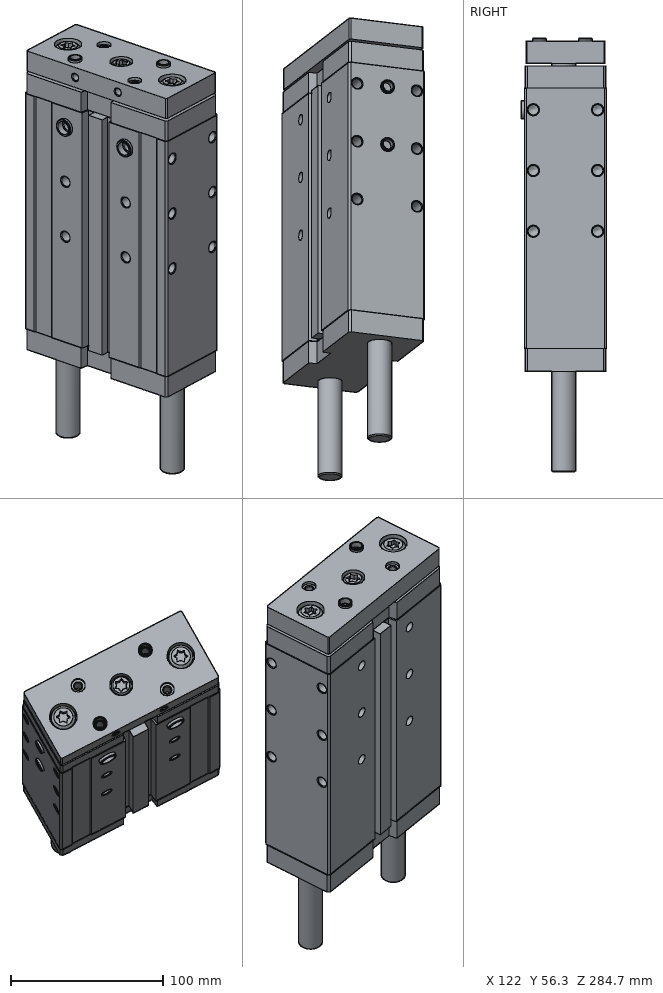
import cadquery as cq
import math

rod_overhang = 66.0
lower_cap_height = 15.0
barrel_height = 171.0
upper_cap_height = 14.5
yoke_gap = 1.7
yoke_height = 14.5

lower_cap_z = rod_overhang
barrel_z = lower_cap_z + lower_cap_height
upper_cap_z = barrel_z + barrel_height
housing_top = upper_cap_z + upper_cap_height
yoke_z = housing_top + yoke_gap
yoke_top = yoke_z + yoke_height

barrel_width, barrel_depth = 120.0, 54.0
cap_width, cap_depth = 118.8, 53.0
yoke_width, yoke_depth = 118.0, 52.0
housing_corner_chamfer = 1.5
yoke_corner_chamfer = 0.9

guide_x = 44.0
guide_y = -1.0
guide_diameter = 16.0
piston_rod_diameter = 12.0
rod_tip_chamfer = 0.9

guide_screw = {"recess": 18.0, "head": 16.0, "crown": 12.5, "star_angle": 30}
piston_screw = {"recess": 15.0, "head": 13.0, "crown": 11.0, "star_angle": 0}
recess_depth = 7.0
head_drop = 0.9
star_tip_diameter = 9.0
star_root_diameter = 6.0
star_points = 6
star_depth = 3.5

rib_edge = 5.7
center_groove_floor_edge = 10.5
center_groove_mouth_edge = 11.5
cap_recess_floor_edge = 11.7
cap_recess_mouth_edge = 12.5
center_groove_depth = 5.7
side_groove_x = 44.1
side_groove_mouth = 14.8
side_groove_floor = 13.0
side_groove_depth = 0.9

hole_pitch = 40.0
top_row_z = upper_cap_z - 14.2
row_heights = [top_row_z - hole_pitch * row for row in range(3)]
cross_hole_x = 25.3
cross_hole_diameter = 6.8
side_hole_y = 21.0
side_hole_diameter = 6.8
side_hole_depth = 14.2
mouth_chamfer = 0.5

large_sleeve = {"outer": 12.0, "inner": 9.0, "rise": 2.3, "seat": 2.5}
small_sleeve = {"outer": 9.0, "inner": 6.8, "rise": 2.0, "seat": 2.0}
sleeve_rim_chamfer = 0.43

yoke_hole_diameter = 4.8
yoke_hole_x = 25.0
yoke_hole_pitch_y = 30.2
yoke_hole_center_y = -2.0
yoke_front_hole_x = 18.0
yoke_front_hole_depth = 8.5
drill_point_angle = 118.0

FROM_FRONT = cq.Vector(0, 1, 0)
FROM_LEFT = cq.Vector(1, 0, 0)
FROM_RIGHT = cq.Vector(-1, 0, 0)
FROM_TOP = cq.Vector(0, 0, -1)
UPWARD = cq.Vector(0, 0, 1)


def cylinder(diameter, length, start, direction):
    solid = cq.Solid.makeCylinder(diameter / 2, length, cq.Vector(*start), direction)
    return cq.Workplane(obj=solid)


def hole_mouth(diameter, start, direction):
    solid = cq.Solid.makeCone(
        diameter / 2 + mouth_chamfer, diameter / 2, mouth_chamfer, cq.Vector(*start), direction
    )
    return cq.Workplane(obj=solid)


def drilled_hole(diameter, depth, start, direction):
    """Blind hole with a chamfered mouth and a conical drill point."""
    point_height = diameter / 2 / math.tan(math.radians(drill_point_angle / 2))
    point_start = cq.Vector(*start) + direction * depth
    point = cq.Workplane(obj=cq.Solid.makeCone(diameter / 2, 0, point_height, point_start, direction))
    hole = cylinder(diameter, depth, start, direction)
    return hole.union(hole_mouth(diameter, start, direction)).union(point)


def sleeve_seat(sleeve, start, direction):
    return cylinder(sleeve["outer"], sleeve["seat"], start, direction)


def chamfered_block(width, depth, height, bottom, chamfer):
    block = cq.Workplane("XY").workplane(offset=bottom).rect(width, depth).extrude(height)
    return block.edges("|Z").chamfer(chamfer)


def cut_guide_bores(body):
    for side in (-1, 1):
        bore = cylinder(guide_diameter, housing_top, (side * guide_x, guide_y, 0), UPWARD)
        body = body.cut(bore)
    return body


def cut_piston_bore(body):
    bore = cylinder(piston_rod_diameter, yoke_z - barrel_z, (0, 0, barrel_z), UPWARD)
    return body.cut(bore)


def cut_groove(body, mouth, floor, depth, face_y, bottom, height):
    """Groove along Z; mouth and floor are (left, right) X pairs, face_y is the face it enters."""
    floor_y = face_y - math.copysign(depth, face_y)
    groove = (
        cq.Workplane("XY")
        .workplane(offset=bottom)
        .moveTo(mouth[0], face_y)
        .lineTo(floor[0], floor_y)
        .lineTo(floor[1], floor_y)
        .lineTo(mouth[1], face_y)
        .close()
        .extrude(height)
    )
    return body.cut(groove)


def make_barrel():
    body = chamfered_block(barrel_width, barrel_depth, barrel_height, barrel_z, housing_corner_chamfer)
    body = cut_piston_bore(cut_guide_bores(body))
    front = -barrel_depth / 2
    for side in (-1, 1):
        mouth = (side * rib_edge, side * center_groove_mouth_edge)
        floor = (side * rib_edge, side * center_groove_floor_edge)
        for face_y in (front, -front):
            body = cut_groove(body, mouth, floor, center_groove_depth, face_y, barrel_z, barrel_height)
        x = side * side_groove_x
        mouth = (x - side_groove_mouth / 2, x + side_groove_mouth / 2)
        floor = (x - side_groove_floor / 2, x + side_groove_floor / 2)
        body = cut_groove(body, mouth, floor, side_groove_depth, front, barrel_z, barrel_height)
    return cut_side_holes(cut_cross_holes(body))


def cut_cross_holes(body):
    front = -barrel_depth / 2
    for side in (-1, 1):
        for z in row_heights:
            start = (side * cross_hole_x, front, z)
            body = body.cut(cylinder(cross_hole_diameter, barrel_depth, start, FROM_FRONT))
            body = body.cut(hole_mouth(cross_hole_diameter, start, FROM_FRONT))
        body = body.cut(sleeve_seat(large_sleeve, (side * cross_hole_x, front, top_row_z), FROM_FRONT))
    return body


def cut_side_holes(body):
    for x, inward in ((-barrel_width / 2, FROM_LEFT), (barrel_width / 2, FROM_RIGHT)):
        for y in (-side_hole_y, side_hole_y):
            for z in row_heights:
                body = body.cut(drilled_hole(side_hole_diameter, side_hole_depth, (x, y, z), inward))
    for z in row_heights[:2]:
        start = (-barrel_width / 2, 0, z)
        body = body.cut(sleeve_seat(small_sleeve, start, FROM_LEFT))
    return body


def make_cap(bottom, height):
    body = chamfered_block(cap_width, cap_depth, height, bottom, housing_corner_chamfer)
    mouth = (-cap_recess_mouth_edge, cap_recess_mouth_edge)
    floor = (-cap_recess_floor_edge, cap_recess_floor_edge)
    for face_y in (-cap_depth / 2, cap_depth / 2):
        body = cut_groove(body, mouth, floor, center_groove_depth, face_y, bottom, height)
    return cut_piston_bore(cut_guide_bores(body))


def star_outline(first_angle):
    points = []
    for index in range(2 * star_points):
        radius = (star_tip_diameter if index % 2 == 0 else star_root_diameter) / 2
        angle = math.radians(first_angle) + math.pi * index / star_points
        points.append((radius * math.cos(angle), radius * math.sin(angle)))
    return points


def add_screw(body, screw, x, y):
    body = body.cut(cylinder(screw["recess"], recess_depth, (x, y, yoke_top), FROM_TOP))
    head_top = yoke_top - head_drop
    head = (
        cq.Workplane("XY", origin=(x, y, head_top))
        .circle(screw["head"] / 2)
        .extrude(head_drop - recess_depth)
        .faces(">Z")
        .chamfer((screw["head"] - screw["crown"]) / 2)
    )
    outline = star_outline(screw["star_angle"])
    socket = cq.Workplane("XY", origin=(x, y, head_top)).polyline(outline).close().extrude(-star_depth)
    return body.union(head.cut(socket))


def yoke_hole_mouth(side, row):
    return (side * yoke_hole_x, yoke_hole_center_y + row * yoke_hole_pitch_y / 2, yoke_top)


def make_yoke():
    body = chamfered_block(yoke_width, yoke_depth, yoke_height, yoke_z, yoke_corner_chamfer)
    for side in (-1, 1):
        guide = cylinder(guide_diameter, yoke_z, (side * guide_x, guide_y, 0), UPWARD)
        body = body.union(guide.faces("<Z").chamfer(rod_tip_chamfer))
        body = add_screw(body, guide_screw, side * guide_x, guide_y)
        front_start = (side * yoke_front_hole_x, -yoke_depth / 2, yoke_z + yoke_height / 2)
        body = body.cut(drilled_hole(yoke_hole_diameter, yoke_front_hole_depth, front_start, FROM_FRONT))
        for row in (-1, 1):
            x, y, z = yoke_hole_mouth(side, row)
            body = body.cut(sleeve_seat(small_sleeve, (x, y, z), FROM_TOP))
            seat_floor = (x, y, z - small_sleeve["seat"])
            body = body.cut(cylinder(yoke_hole_diameter, yoke_height, seat_floor, FROM_TOP))
            body = body.cut(hole_mouth(yoke_hole_diameter, seat_floor, FROM_TOP))
    body = body.union(cylinder(piston_rod_diameter, yoke_z - barrel_z, (0, 0, barrel_z), UPWARD))
    return add_screw(body, piston_screw, 0, 0)


def make_sleeve(sleeve, seat_mouth, inward):
    """Ring standing proud of the face at seat_mouth and filling its seat."""
    start = (cq.Vector(*seat_mouth) - inward * sleeve["rise"]).toTuple()
    length = sleeve["rise"] + sleeve["seat"]
    ring = cylinder(sleeve["outer"], length, start, inward)
    ring = ring.faces(cq.selectors.DirectionMinMaxSelector(inward, False)).chamfer(sleeve_rim_chamfer)
    return ring.cut(cylinder(sleeve["inner"], length, start, inward))


barrel = make_barrel()
lower_cap = make_cap(lower_cap_z, lower_cap_height)
upper_cap = make_cap(upper_cap_z, upper_cap_height)
yoke = make_yoke()

front_sleeves = [
    make_sleeve(large_sleeve, (side * cross_hole_x, -barrel_depth / 2, top_row_z), FROM_FRONT)
    for side in (-1, 1)
]
left_sleeves = [
    make_sleeve(small_sleeve, (-barrel_width / 2, 0, z), FROM_LEFT) for z in row_heights[:2]
]
yoke_sleeves = [
    make_sleeve(small_sleeve, yoke_hole_mouth(side, side), FROM_TOP)
    for side in (-1, 1)
]

bodies = [barrel, lower_cap, upper_cap, yoke, *front_sleeves, *left_sleeves, *yoke_sleeves]
result = cq.Compound.makeCompound([body.val() for body in bodies])